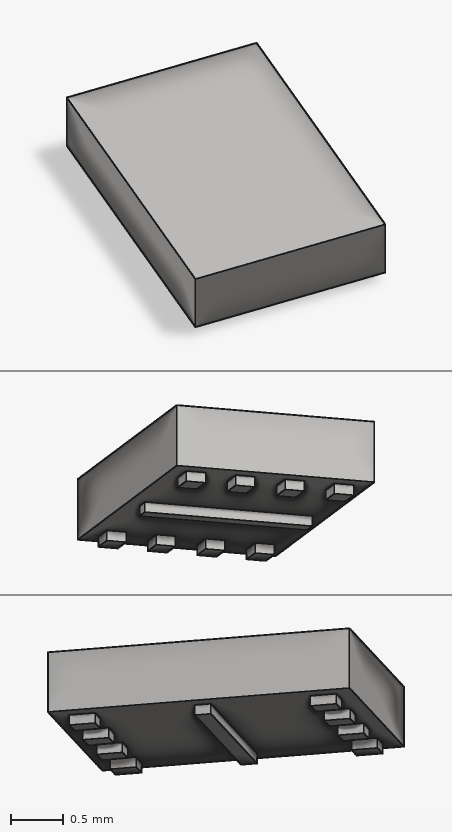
import cadquery as cq

BODY_LENGTH = 3.0
BODY_WIDTH = BODY_LENGTH * 2 / 3
BODY_HEIGHT = BODY_LENGTH / 5

PAD_THICKNESS = BODY_HEIGHT / 6
EDGE_PAD_LENGTH = 0.258
EDGE_PAD_WIDTH = 0.195
EDGE_PAD_PITCH = BODY_LENGTH / 6
EDGE_PAD_INSET = 0.17
PADS_PER_ROW = 4
CENTER_PAD_LENGTH = 0.16

ROW_X = BODY_LENGTH / 2 - EDGE_PAD_INSET - EDGE_PAD_LENGTH / 2
FIRST_PAD_Y = -EDGE_PAD_PITCH * (PADS_PER_ROW - 1) / 2

CENTER_PAD_WIDTH = EDGE_PAD_PITCH * (PADS_PER_ROW - 1) + EDGE_PAD_WIDTH


def make_body():
    """Plain rectangular package standing on the plane z = 0."""
    return cq.Workplane("XY").box(
        BODY_LENGTH, BODY_WIDTH, BODY_HEIGHT, centered=(True, True, False)
    )


def make_pad(length, width, x, y):
    """Flat pad centered at (x, y), with its top against the package underside."""
    return (
        cq.Workplane("XY")
        .center(x, y)
        .rect(length, width)
        .extrude(-PAD_THICKNESS)
    )


body = make_body()
center_pad = make_pad(CENTER_PAD_LENGTH, CENTER_PAD_WIDTH, 0, 0)

edge_pads = []
for row_x in (-ROW_X, ROW_X):
    for index in range(PADS_PER_ROW):
        pad_y = FIRST_PAD_Y + index * EDGE_PAD_PITCH
        pad = make_pad(EDGE_PAD_LENGTH, EDGE_PAD_WIDTH, row_x, pad_y)
        edge_pads.append(pad.val())

result = cq.Compound.makeCompound([body.val(), center_pad.val(), *edge_pads])